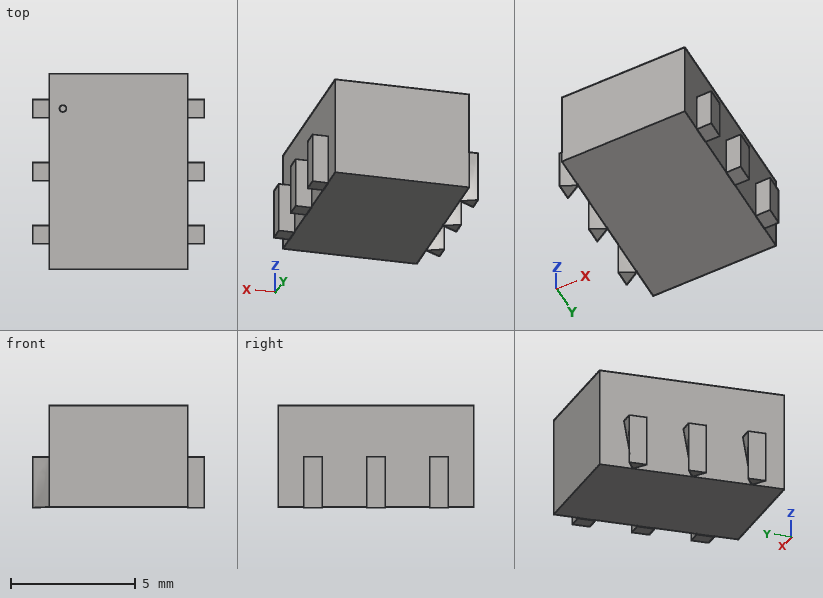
import cadquery as cq

HOUSING_WIDTH = 5.59
HOUSING_LENGTH = 7.87
HOUSING_HEIGHT = 4.09

OVERALL_WIDTH = 6.91
LEAD_PROJECTION = (OVERALL_WIDTH - HOUSING_WIDTH) / 2
LEAD_WIDTH = 0.75
LEAD_TOP = 2.02
STANDOFF = 0.03
LEAD_PITCH = 2.535

MARKER_DIAMETER = 0.275
MARKER_DEPTH = 0.04
MARKER_X = -2.235
MARKER_Y = 2.535


def make_marker():
    """Disc whose upper face is level with the housing top."""
    return (
        cq.Workplane("XY", origin=(MARKER_X, MARKER_Y, HOUSING_HEIGHT - MARKER_DEPTH))
        .circle(MARKER_DIAMETER / 2)
        .extrude(MARKER_DEPTH)
    )


def make_housing(marker):
    """Rectangular block with a recess that the marker fills."""
    block = cq.Workplane("XY").box(
        HOUSING_WIDTH, HOUSING_LENGTH, HOUSING_HEIGHT, centered=(True, True, False)
    )
    return block.cut(marker)


def flat_face(*corners):
    """Planar face bounded by straight edges through the corners."""
    return cq.Face.makeFromWires(cq.Wire.makePolygon(corners, close=True))


def twisted_face(outer_top, outer_foot, inner_top, inner_foot):
    """Ruled face between the outer and inner edges of a lead's side."""
    outer_edge = cq.Edge.makeLine(outer_top, outer_foot)
    inner_edge = cq.Edge.makeLine(inner_top, inner_foot)
    return cq.Face.makeRuledSurface(outer_edge, inner_edge)


def make_left_lead(center_y):
    """Lead with a rectangular top and a foot that tapers to a point on the housing's lower edge."""
    inner_x = -HOUSING_WIDTH / 2
    outer_x = inner_x - LEAD_PROJECTION
    front_y = center_y - LEAD_WIDTH / 2
    back_y = center_y + LEAD_WIDTH / 2

    outer_front_top = cq.Vector(outer_x, front_y, LEAD_TOP)
    outer_back_top = cq.Vector(outer_x, back_y, LEAD_TOP)
    inner_front_top = cq.Vector(inner_x, front_y, LEAD_TOP)
    inner_back_top = cq.Vector(inner_x, back_y, LEAD_TOP)
    outer_front_foot = cq.Vector(outer_x, front_y, -STANDOFF)
    outer_back_foot = cq.Vector(outer_x, back_y, -STANDOFF)
    inner_foot = cq.Vector(inner_x, center_y, 0)

    faces = [
        flat_face(outer_front_top, inner_front_top, inner_back_top, outer_back_top),
        flat_face(outer_front_top, outer_back_top, outer_back_foot, outer_front_foot),
        flat_face(inner_front_top, inner_foot, inner_back_top),
        flat_face(outer_front_foot, outer_back_foot, inner_foot),
        twisted_face(outer_front_top, outer_front_foot, inner_front_top, inner_foot),
        twisted_face(outer_back_top, outer_back_foot, inner_back_top, inner_foot),
    ]
    return cq.Solid.makeSolid(cq.Shell.makeShell(faces)).fix()


def make_right_lead(center_y):
    """Plain rectangular lead on the +X side."""
    lead_height = LEAD_TOP + STANDOFF
    corner = cq.Vector(HOUSING_WIDTH / 2, center_y - LEAD_WIDTH / 2, -STANDOFF)
    return cq.Solid.makeBox(LEAD_PROJECTION, LEAD_WIDTH, lead_height, corner)


marker = make_marker()
housing = make_housing(marker)

left_leads = []
right_leads = []
for row in (-1, 0, 1):
    row_y = row * LEAD_PITCH
    left_leads.append(make_left_lead(row_y))
    right_leads.append(make_right_lead(row_y))

result = cq.Compound.makeCompound([housing.val(), marker.val(), *left_leads, *right_leads])